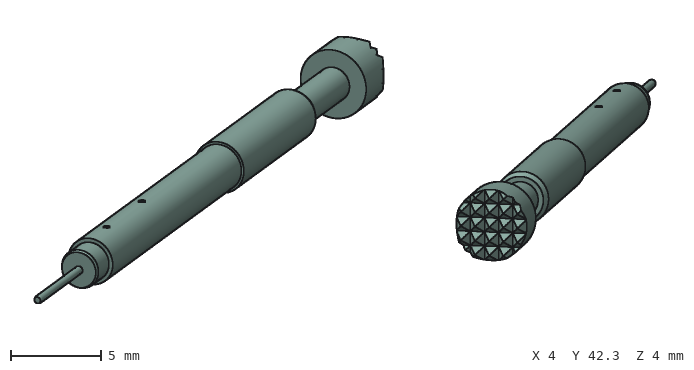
import cadquery as cq

overall_length = 42.3

head_diameter = 4.0
head_length = 3.0
neck_diameter = 2.0
neck_length = 5.2
front_barrel_diameter = 3.0
front_barrel_length = 9.95
rear_barrel_diameter = 2.7
rear_barrel_length = 17.1
collar_diameter = 2.25
collar_length = 1.55
pin_diameter = 0.45

nose_length = 0.4
nose_depth = 0.2
end_bevel_length = 0.15
collar_bevel_depth = 0.1
pin_bevel_depth = 0.05

teeth_across = 5
tooth_pitch = head_diameter / teeth_across
tooth_height = 0.68

dimple_diameter = 0.4
dimple_depth = 0.1
dimple_spacing = 4.7
collar_to_rear_dimple = 2.1

head_back = overall_length - head_length
barrel_front = head_back - neck_length
barrel_step = barrel_front - front_barrel_length
collar_front = barrel_step - rear_barrel_length
collar_back = collar_front - collar_length


def cylinder_along_y(diameter, start, end):
    profile = cq.Workplane("XZ", origin=(0, start, 0)).circle(diameter / 2)
    return profile.extrude(start - end)


def make_barrel():
    front = cylinder_along_y(front_barrel_diameter, barrel_step, barrel_front)
    front = front.faces(">Y").chamfer(nose_length, nose_depth)
    rear = cylinder_along_y(rear_barrel_diameter, collar_front, barrel_step)
    collar = cylinder_along_y(collar_diameter, collar_back, collar_front)
    collar = collar.faces("<Y").chamfer(end_bevel_length, collar_bevel_depth)
    return front.union(rear).union(collar)


def make_pin():
    pin = cylinder_along_y(pin_diameter, 0, collar_back)
    return pin.faces("<Y").chamfer(end_bevel_length, pin_bevel_depth)


def make_groove(center):
    """V groove running along Z across the whole crown, centred at X = center."""
    half_width = tooth_pitch / 2
    return (
        cq.Workplane("XY", origin=(center, overall_length, 0))
        .polyline([(-half_width, 0), (0, -tooth_height), (half_width, 0)])
        .close()
        .extrude(head_diameter, both=True)
    )


def make_head():
    """Round head whose face is cut into a square grid of pyramid teeth."""
    head = cylinder_along_y(head_diameter, head_back, overall_length)
    for index in range(teeth_across + 1):
        groove = make_groove((index - teeth_across / 2) * tooth_pitch)
        crossing_groove = groove.rotate((0, 0, 0), (0, 1, 0), 90)
        head = head.cut(groove).cut(crossing_groove)
    return head


def make_dimple(position):
    """Shallow round dimple in the top of the rear barrel."""
    floor = rear_barrel_diameter / 2 - dimple_depth
    profile = cq.Workplane("XY", origin=(0, position, floor)).circle(dimple_diameter / 2)
    return profile.extrude(2 * dimple_depth)


neck = cylinder_along_y(neck_diameter, barrel_front, head_back)
result = make_barrel().union(make_pin()).union(neck).union(make_head())

rear_dimple = collar_front + collar_to_rear_dimple
for dimple_position in (rear_dimple, rear_dimple + dimple_spacing):
    result = result.cut(make_dimple(dimple_position))